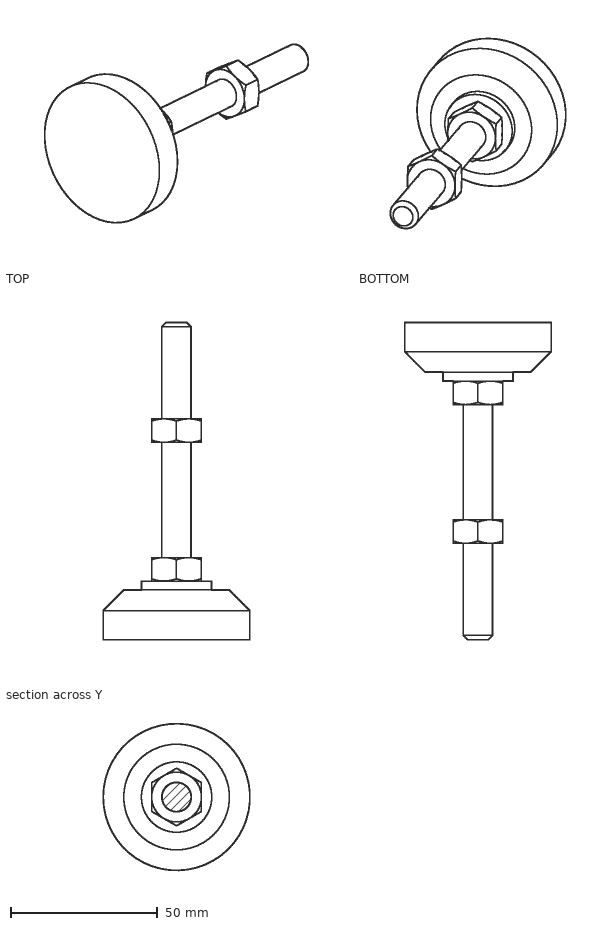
import cadquery as cq
import math

total_length = 108.0
pad_diameter = 50.0
pad_rim_height = 9.9
cone_top_diameter = 36.0
cone_top = 17.0
collar_diameter = 24.0
collar_top = 20.0

rod_diameter = 10.0
rod_chamfer_length = 1.5
rod_chamfer_depth = 1.5

nut_across_flats = 17.0
nut_height = 8.0
nut_chamfer_angle = 30.0
lock_nut_start = 67.2
half_flat_angle = 30.0

nut_across_corners = nut_across_flats / math.cos(math.radians(half_flat_angle))


def foot_body():
    """Pad, cone, collar and rod turned as one profile about the Y axis."""
    rod_radius = rod_diameter / 2
    return (
        cq.Workplane("XY")
        .moveTo(0, 0)
        .lineTo(pad_diameter / 2, 0)
        .lineTo(pad_diameter / 2, pad_rim_height)
        .lineTo(cone_top_diameter / 2, cone_top)
        .lineTo(collar_diameter / 2, cone_top)
        .lineTo(collar_diameter / 2, collar_top)
        .lineTo(rod_radius, collar_top)
        .lineTo(rod_radius, total_length - rod_chamfer_length)
        .lineTo(rod_radius - rod_chamfer_depth, total_length)
        .lineTo(0, total_length)
        .close()
        .revolve(360, (0, 0), (0, 1))
    )


def hex_nut(start):
    """Hexagon with corners on +Z and -Z, its corners bevelled at both ends."""
    end = start + nut_height
    prism = (
        cq.Workplane("XZ", origin=(0, start, 0))
        .polygon(6, nut_across_corners)
        .extrude(-nut_height)
        .rotate((0, 0, 0), (0, 1, 0), half_flat_angle)
    )
    face_radius = nut_across_flats / 2
    corner_radius = nut_across_corners / 2
    bevel = (corner_radius - face_radius) * math.tan(math.radians(nut_chamfer_angle))
    envelope = (
        cq.Workplane("XY")
        .moveTo(0, start)
        .lineTo(face_radius, start)
        .lineTo(corner_radius, start + bevel)
        .lineTo(corner_radius, end - bevel)
        .lineTo(face_radius, end)
        .lineTo(0, end)
        .close()
        .revolve(360, (0, 0), (0, 1))
    )
    return prism.intersect(envelope)


result = foot_body()
for nut_start in (collar_top, lock_nut_start):
    result = result.union(hex_nut(nut_start))